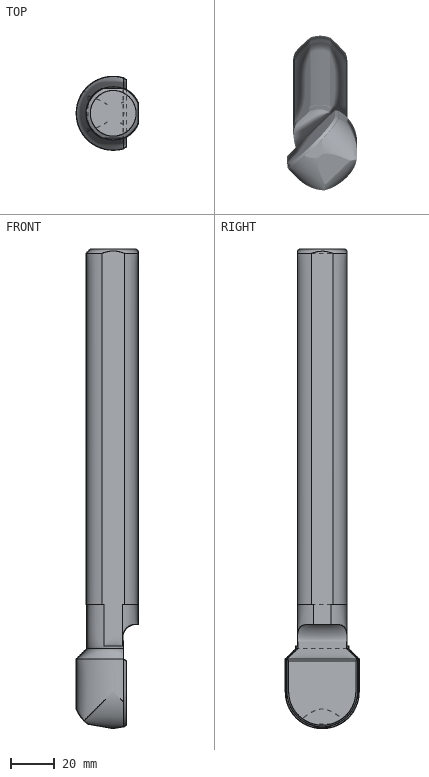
import cadquery as cq
import math

total_length = 220.2

shank_radius = 12.5
shank_bottom = 56.9
shank_chamfer = 2.0
neck_radius = 12.2
front_flat_offset = 11.51
side_flat_offset = 11.4
flat_end = 38.0

head_radius = 17.0
shoulder_height = 31.9
cone_top = shoulder_height + head_radius - neck_radius

head_face = 4.75
gullet_radius = 6.0
gullet_top = 47.8
gullet_depth = 4.4

blade_face = 6.1
blade_radius = 16.2
blade_taper = 30.0

relief_slope = math.tan(math.radians(10.0))
heel_radius = 17.0
heel_start = 11.6
heel_top = 9.0

clear = 2 * head_radius


def round_nosed_outline(x, radius, top):
    """YZ outline of a plate with parallel sides and a full round lower end."""
    return (
        cq.Workplane("YZ", origin=(x, 0, 0))
        .moveTo(-radius, head_radius)
        .threePointArc((0, head_radius - radius), (radius, head_radius))
        .lineTo(radius, top)
        .lineTo(-radius, top)
        .close()
    )


def across_body(outline):
    """Extrude a closed XZ outline through the full width in Y."""
    return outline.extrude(clear, both=True)


def make_shank():
    """Chamfered shank and slightly slimmer neck, with flats on +X, +Y and -Y."""
    shank = (
        cq.Workplane("XY", origin=(0, 0, shank_bottom))
        .circle(shank_radius)
        .extrude(total_length - shank_bottom)
        .faces(">Z")
        .chamfer(shank_chamfer)
    )
    neck = (
        cq.Workplane("XY", origin=(0, 0, shoulder_height))
        .circle(neck_radius)
        .extrude(shank_bottom - shoulder_height)
    )
    flats = (
        cq.Workplane("XY", origin=(0, 0, flat_end))
        .moveTo(-head_radius, -side_flat_offset)
        .lineTo(front_flat_offset, -side_flat_offset)
        .lineTo(front_flat_offset, side_flat_offset)
        .lineTo(-head_radius, side_flat_offset)
        .close()
        .extrude(total_length - flat_end)
    )
    round_foot = cq.Workplane("XY").circle(head_radius).extrude(flat_end)
    return shank.union(neck).intersect(flats.union(round_foot))


def make_head():
    """Round head with a conical shoulder, rounded below by a nose running along X."""
    turned = (
        cq.Workplane("XZ")
        .lineTo(head_radius, 0)
        .lineTo(head_radius, shoulder_height)
        .lineTo(neck_radius, cone_top)
        .lineTo(0, cone_top)
        .close()
        .revolve(360, (0, 0), (0, 1))
    )
    nose = round_nosed_outline(-head_radius, head_radius, cone_top).extrude(2 * head_radius)
    return turned.intersect(nose)


def cut_gullet(body):
    """Flat cutting face on the +X side, running out upwards in a round gullet."""
    arc_center_x = gullet_depth + gullet_radius
    arc_center_z = gullet_top - gullet_radius
    arc_drop = math.sqrt(gullet_radius**2 - (arc_center_x - head_face) ** 2)
    outline = (
        cq.Workplane("XZ")
        .moveTo(head_face, 0)
        .lineTo(head_face, arc_center_z - arc_drop)
        .threePointArc((gullet_depth, arc_center_z), (arc_center_x, gullet_top))
        .lineTo(clear, gullet_top)
        .lineTo(clear, 0)
        .close()
    )
    return body.cut(across_body(outline))


def make_blade():
    """Round-nosed blade on the head face, tapering towards its front."""
    return round_nosed_outline(head_face, blade_radius, shoulder_height).extrude(
        blade_face - head_face, taper=blade_taper
    )


def cut_clearance(body):
    """Relief falling away on both sides of the tip, with a rounded heel on -X."""
    outline = (
        cq.Workplane("XZ")
        .lineTo(-heel_start, heel_start * relief_slope)
        .radiusArc((-head_radius, heel_top), heel_radius)
        .lineTo(-clear, heel_top)
        .lineTo(-clear, -clear)
        .lineTo(clear, -clear)
        .lineTo(clear, clear * relief_slope)
        .close()
    )
    return body.cut(across_body(outline))


body = cut_gullet(make_shank().union(make_head()))
result = cut_clearance(body.union(make_blade()))